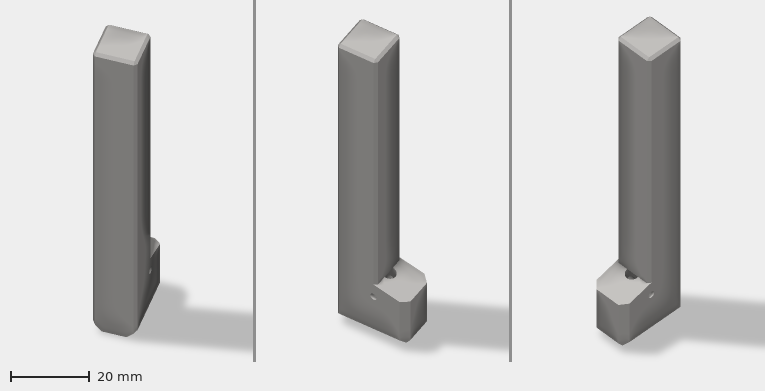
import cadquery as cq
import math

width = 12.0
height = 100.0
shaft_depth = 12.0
edge_chamfer = 0.8

foot_depth = 21.0
foot_rear_height = 16.8
foot_slope = 15.0
foot_rear_side_chamfer = 2.0
foot_rear_bottom_chamfer = 3.0
bottom_side_chamfer = 3.5

vertical_hole_diameter = 4.0
cross_hole_diameter = 2.0
cross_hole_y = 11.2
cross_hole_z = 15.1

foot_projection = foot_depth - shaft_depth
foot_rise = foot_projection * math.tan(math.radians(foot_slope))
foot_shaft_height = foot_rear_height + foot_rise


def make_shaft():
    """Square bar with bevelled long edges and top rim."""
    return (
        cq.Workplane("XY")
        .box(width, shaft_depth, height, centered=(True, False, False))
        .edges("|Z or >Z")
        .chamfer(edge_chamfer)
    )


def make_foot():
    """Foot below the sloping top, running from the front face to the rear."""
    inner_y = shaft_depth - edge_chamfer
    inner_height = foot_shaft_height + edge_chamfer * math.tan(math.radians(foot_slope))
    foot = (
        cq.Workplane("YZ")
        .moveTo(0, 0)
        .lineTo(foot_depth, 0)
        .lineTo(foot_depth, foot_rear_height)
        .lineTo(inner_y, inner_height)
        .lineTo(0, inner_height)
        .close()
        .extrude(width / 2, both=True)
    )
    foot = foot.edges("|Z and >Y").chamfer(foot_rear_side_chamfer)
    return foot.edges("|Z and <Y").chamfer(edge_chamfer)


def bevel_prism(plane, corner, direction_u, size, length):
    """Triangular cutter for a lower outer edge, extruded both ways along it."""
    return (
        cq.Workplane(plane)
        .moveTo(corner, 0)
        .lineTo(corner + direction_u * size, 0)
        .lineTo(corner, size)
        .close()
        .extrude(length, both=True)
    )


def bevel_bottom(body):
    """Bevel the four edges of the underside."""
    for side in (-1, 1):
        body = body.cut(bevel_prism("XZ", side * width / 2, -side, bottom_side_chamfer, foot_depth))
    body = body.cut(bevel_prism("YZ", 0, 1, edge_chamfer, width))
    return body.cut(bevel_prism("YZ", foot_depth, -1, foot_rear_bottom_chamfer, width))


def cut_holes(body):
    """Drill the foot upward at the shaft's rear face and across its width."""
    vertical_hole = (
        cq.Workplane("XY")
        .center(0, shaft_depth)
        .circle(vertical_hole_diameter / 2)
        .extrude(foot_shaft_height)
    )
    cross_hole = (
        cq.Workplane("YZ")
        .center(cross_hole_y, cross_hole_z)
        .circle(cross_hole_diameter / 2)
        .extrude(width, both=True)
    )
    return body.cut(vertical_hole).cut(cross_hole)


result = cut_holes(bevel_bottom(make_shaft().union(make_foot())))